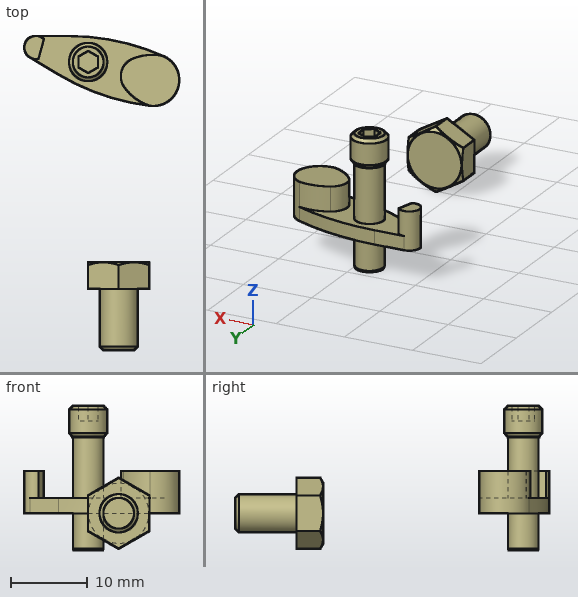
import cadquery as cq
import math


ARM_TURN = -15.5
TAPER_HALF_ANGLE = 15.4
PLATE_THICKNESS = 2.0
PAD_HEIGHT = 5.52
POST_RADIUS = 1.5
POST_CENTER = -7.08
POST_FLAT = -6.35
CAM_RADIUS = 3.4
CAM_CENTER = 8.8
FLANK_LENGTH = 4.35
NOSE_RADIUS = 2.5
NOSE_CENTER = 7.0
NOSE_HALF_ANGLE = 46.0
CAM_SIDE_BULGE = 0.35

SCREW_BOTTOM = -4.83
SCREW_TOP = 14.0
SHANK_RADIUS = 2.0
HEAD_RADIUS = 2.5
HEAD_HEIGHT = 4.0
HEAD_CHAMFER = 0.5
COLLAR_RADIUS = 2.1
COLLAR_HEIGHT = 0.12
TIP_LENGTH = 0.25
TIP_INSET = 0.1
SOCKET_FLATS = 2.5
SOCKET_DEPTH = 2.0

BOLT_X = 3.95
BOLT_TIP_Y = -37.5
BOLT_LENGTH = 11.5
BOLT_HEAD = 3.5
BOLT_FLATS = 8.0
BOLT_RADIUS = 2.5
BOLT_TIP_CHAMFER = 0.5
BOLT_FACE_RADIUS = 3.93
HEAD_CONE_ANGLE = 30.0


def hexagon_diameter(across_flats):
    return across_flats / math.cos(math.radians(30))


def mirrored(point):
    return (point[0], -point[1])


def flank_points():
    """Return the upper flank's start, end, bow midpoint and meeting point with the cam end.

    The bow is the arc tangent to both the straight flank and the cam end circle.
    """
    angle = math.radians(TAPER_HALF_ANGLE)
    along = (math.cos(angle), math.sin(angle))
    out = (-math.sin(angle), math.cos(angle))
    start = (POST_CENTER + POST_RADIUS * out[0], POST_RADIUS * out[1])
    end = (start[0] + FLANK_LENGTH * along[0], start[1] + FLANK_LENGTH * along[1])

    dx, dy = end[0] - CAM_CENTER, end[1]
    offset = dx * out[0] + dy * out[1]
    bow_radius = (dx**2 + dy**2 - CAM_RADIUS**2) / (2 * (offset - CAM_RADIUS))
    center = (end[0] - bow_radius * out[0], end[1] - bow_radius * out[1])

    first = math.atan2(out[1], out[0])
    last = math.atan2(-center[1], CAM_CENTER - center[0])
    middle = (first + last) / 2
    bow_middle = (center[0] + bow_radius * math.cos(middle), center[1] + bow_radius * math.sin(middle))
    meeting = (center[0] + bow_radius * math.cos(last), center[1] + bow_radius * math.sin(last))
    return start, end, bow_middle, meeting


def make_arm_block():
    """The whole arm outline at full height."""
    start, end, bow_middle, meeting = flank_points()
    return (
        cq.Workplane("XY")
        .moveTo(*start)
        .lineTo(*end)
        .threePointArc(bow_middle, meeting)
        .threePointArc((CAM_CENTER + CAM_RADIUS, 0), mirrored(meeting))
        .threePointArc(mirrored(bow_middle), mirrored(end))
        .lineTo(*mirrored(start))
        .threePointArc((POST_CENTER - POST_RADIUS, 0), start)
        .close()
        .extrude(PAD_HEIGHT)
    )


def make_arm_clearance():
    """The space above the plate, bounded by the post on one side and the cam on the other."""
    start, _, _, meeting = flank_points()
    flat_end = (POST_FLAT, math.sqrt(POST_RADIUS**2 - (POST_FLAT - POST_CENTER) ** 2))
    post_angle = (math.atan2(start[1], start[0] - POST_CENTER)
                  + math.atan2(flat_end[1], POST_FLAT - POST_CENTER)) / 2
    post_side = (
        POST_CENTER + POST_RADIUS * math.cos(post_angle),
        POST_RADIUS * math.sin(post_angle),
    )
    nose_angle = math.radians(NOSE_HALF_ANGLE)
    nose_end = (
        NOSE_CENTER - NOSE_RADIUS * math.cos(nose_angle),
        NOSE_RADIUS * math.sin(nose_angle),
    )
    outside = 2 * CAM_RADIUS
    return (
        cq.Workplane("XY", origin=(0, 0, PLATE_THICKNESS))
        .moveTo(*start)
        .threePointArc(post_side, flat_end)
        .lineTo(*mirrored(flat_end))
        .threePointArc(mirrored(post_side), mirrored(start))
        .lineTo(start[0], -outside)
        .lineTo(meeting[0], -outside)
        .lineTo(*mirrored(meeting))
        .sagittaArc(mirrored(nose_end), CAM_SIDE_BULGE)
        .threePointArc((NOSE_CENTER - NOSE_RADIUS, 0), nose_end)
        .sagittaArc(meeting, CAM_SIDE_BULGE)
        .lineTo(meeting[0], outside)
        .lineTo(start[0], outside)
        .close()
        .extrude(PAD_HEIGHT - PLATE_THICKNESS)
    )


def make_screw():
    head_bottom = SCREW_TOP - HEAD_HEIGHT
    collar_bottom = head_bottom - COLLAR_HEIGHT
    profile = [
        (0, SCREW_BOTTOM),
        (SHANK_RADIUS - TIP_INSET, SCREW_BOTTOM),
        (SHANK_RADIUS, SCREW_BOTTOM + TIP_LENGTH),
        (SHANK_RADIUS, collar_bottom),
        (COLLAR_RADIUS, collar_bottom),
        (COLLAR_RADIUS, head_bottom),
        (HEAD_RADIUS, head_bottom + HEAD_CHAMFER),
        (HEAD_RADIUS, SCREW_TOP - HEAD_CHAMFER),
        (HEAD_RADIUS - HEAD_CHAMFER, SCREW_TOP),
        (0, SCREW_TOP),
    ]
    screw = cq.Workplane("XZ").polyline(profile).close().revolve(360, (0, 0), (0, 1))
    socket = (
        cq.Workplane("XY")
        .workplane(offset=SCREW_TOP - SOCKET_DEPTH)
        .transformed(rotate=(0, 0, 30))
        .polygon(6, hexagon_diameter(SOCKET_FLATS))
        .extrude(SOCKET_DEPTH)
    )
    return screw.cut(socket)


def make_clamp():
    """The arm with its post, cam and cap screw, all in one piece."""
    arm = make_arm_block().cut(make_arm_clearance())
    return arm.rotate((0, 0, 0), (0, 0, 1), ARM_TURN).union(make_screw())


def make_bolt():
    """Built upright with its tip at z = 0, then laid down so the tip points along -Y."""
    head_bottom = BOLT_LENGTH - BOLT_HEAD
    head = (
        cq.Workplane("XY")
        .workplane(offset=head_bottom)
        .transformed(rotate=(0, 0, 30))
        .polygon(6, hexagon_diameter(BOLT_FLATS))
        .extrude(BOLT_HEAD)
    )
    cone_radius = BOLT_FLATS
    cone_drop = (cone_radius - BOLT_FACE_RADIUS) * math.tan(math.radians(HEAD_CONE_ANGLE))
    corner_envelope = (
        cq.Workplane("XZ")
        .polyline([
            (0, head_bottom),
            (cone_radius, head_bottom),
            (cone_radius, BOLT_LENGTH - cone_drop),
            (BOLT_FACE_RADIUS, BOLT_LENGTH),
            (0, BOLT_LENGTH),
        ])
        .close()
        .revolve(360, (0, 0), (0, 1))
    )
    shank = cq.Workplane("XY").circle(BOLT_RADIUS).extrude(head_bottom)
    shank = shank.faces("<Z").chamfer(BOLT_TIP_CHAMFER)
    bolt = head.intersect(corner_envelope).union(shank)
    return bolt.rotate((0, 0, 0), (1, 0, 0), -90).translate((BOLT_X, BOLT_TIP_Y, 0))


clamp = make_clamp()
bolt = make_bolt()

result = cq.Compound.makeCompound([*clamp.solids().vals(), *bolt.solids().vals()])